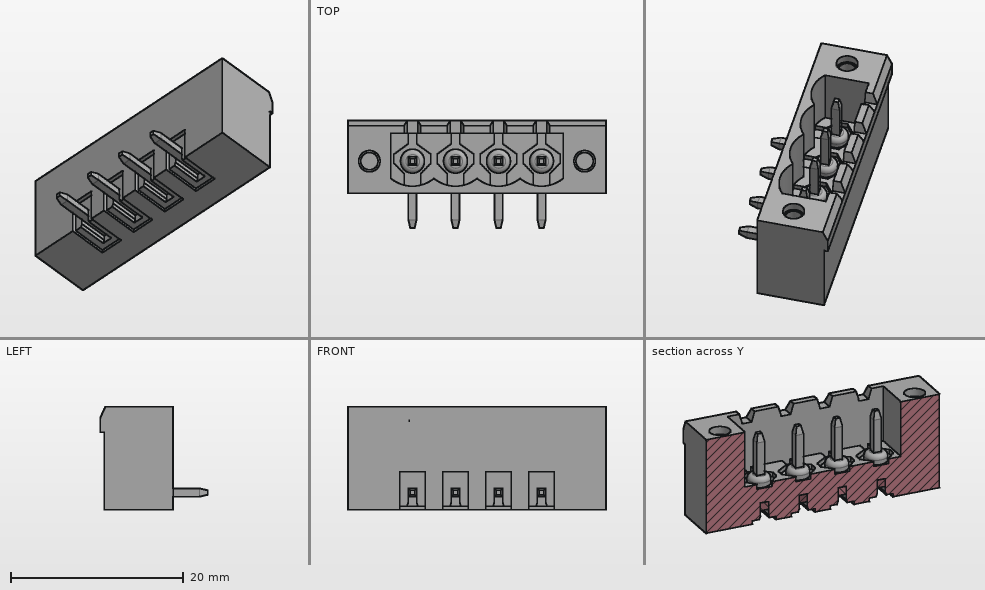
import cadquery as cq


LENGTH = 30.0
HEIGHT = 12.0
DEPTH = 8.5
LIP_OVERHANG = 0.45
LIP_HEIGHT = 3.0
LIP_BEVEL_DEPTH = 0.6
LIP_BEVEL_HEIGHT = 1.3

PIN_COUNT = 4
PITCH = LENGTH / 6
PIN_Y = 3.75

CAVITY_FLOOR_Z = 5.0
CAVITY_BACK_Y = 7.0
CAVITY_LENGTH = PIN_COUNT * PITCH
CUSP_Y = 1.75
SCALLOP_Y = 0.85

NOTCH_TOP_WIDTH = 1.95
NOTCH_BOTTOM_WIDTH = 1.2

RELIEF_DEPTH = 0.6
RELIEF_BACK_WIDTH = 1.0
RELIEF_MIDDLE_WIDTH = 4.3
RELIEF_FRONT_WIDTH = 1.9
RELIEF_NECK_Y = 5.75
RELIEF_MIDDLE_BACK_Y = 4.55
RELIEF_MIDDLE_FRONT_Y = 3.5
RELIEF_FRONT_Y = 2.28

BOSS_DIAMETER = 2.8
BOSS_HEIGHT = 1.2
BOSS_ROUNDING = 0.6

PIN_SIZE = 1.0
PIN_TIP_SIZE = 0.55
PIN_TAPER = 1.0
PIN_TOP_Z = 10.8
PIN_REACH = 4.02
LEG_Z = 2.0

WINDOW_WIDTH = 3.0
WINDOW_HEIGHT = 4.45
WINDOW_DEPTH = 0.5
BOTTOM_RECESS_HEIGHT = 0.42
BOTTOM_RECESS_BACK_Y = 5.0
SLOT_MOUTH_WIDTH = 1.3
SLOT_FLARE_Z = 0.85
SLOT_BACK_Y = PIN_Y + PIN_SIZE / 2

SLEEVE_X = 2.5 * PITCH
SLEEVE_DIAMETER = 2.5
SLEEVE_BORE = 2.0
SLEEVE_SINK = 1.0
SLEEVE_LENGTH = 5.0

pin_places = [(i - (PIN_COUNT - 1) / 2) * PITCH for i in range(PIN_COUNT)]
sleeve_places = [-SLEEVE_X, SLEEVE_X]


def block(x_centre, x_size, y_min, y_max, z_min, z_max):
    """Box given by its X centre and size and its Y and Z limits."""
    box = cq.Workplane("XY").box(x_size, y_max - y_min, z_max - z_min, centered=(True, False, False))
    return box.translate((x_centre, y_min, z_min))


def make_shell():
    """Side profile of the housing with its bevelled rear lip, extruded along X."""
    back_y = DEPTH - LIP_OVERHANG
    lip_z = HEIGHT - LIP_HEIGHT
    outline = [
        (0, 0),
        (back_y, 0),
        (back_y, lip_z),
        (DEPTH, lip_z),
        (DEPTH, HEIGHT - LIP_BEVEL_HEIGHT),
        (DEPTH - LIP_BEVEL_DEPTH, HEIGHT),
        (0, HEIGHT),
    ]
    return cq.Workplane("YZ").polyline(outline).close().extrude(LENGTH / 2, both=True)


def make_cavity():
    """Plug cavity whose front wall is scalloped, one arc for each pin."""
    half = CAVITY_LENGTH / 2
    outline = cq.Workplane("XY").moveTo(half, CAVITY_BACK_Y).lineTo(-half, CAVITY_BACK_Y).lineTo(-half, CUSP_Y)
    for x in pin_places:
        outline = outline.threePointArc((x, SCALLOP_Y), (x + PITCH / 2, CUSP_Y))
    return outline.close().extrude(HEIGHT - CAVITY_FLOOR_Z).translate((0, 0, CAVITY_FLOOR_Z))


def make_notch(x):
    """Trapezoidal keying notch through the rear wall."""
    bottom_z = HEIGHT - LIP_BEVEL_HEIGHT
    outline = [
        (x - NOTCH_TOP_WIDTH / 2, HEIGHT),
        (x + NOTCH_TOP_WIDTH / 2, HEIGHT),
        (x + NOTCH_BOTTOM_WIDTH / 2, bottom_z),
        (x - NOTCH_BOTTOM_WIDTH / 2, bottom_z),
    ]
    notch = cq.Workplane("XZ").polyline(outline).close().extrude(CAVITY_BACK_Y - DEPTH)
    return notch.translate((0, CAVITY_BACK_Y, 0))


def make_relief(x):
    """Sunken area of the cavity floor, kept within the outline of the cavity."""
    right_side = [
        (RELIEF_FRONT_WIDTH / 2, 0),
        (RELIEF_FRONT_WIDTH / 2, RELIEF_FRONT_Y),
        (RELIEF_MIDDLE_WIDTH / 2, RELIEF_MIDDLE_FRONT_Y),
        (RELIEF_MIDDLE_WIDTH / 2, RELIEF_MIDDLE_BACK_Y),
        (RELIEF_BACK_WIDTH / 2, RELIEF_NECK_Y),
        (RELIEF_BACK_WIDTH / 2, CAVITY_BACK_Y),
    ]
    left_side = [(-dx, y) for dx, y in reversed(right_side)]
    relief = cq.Workplane("XY").polyline(right_side + left_side).close().extrude(RELIEF_DEPTH)
    relief = relief.translate((x, 0, CAVITY_FLOOR_Z - RELIEF_DEPTH))
    return relief.intersect(make_cavity().translate((0, 0, -RELIEF_DEPTH)))


def make_boss(x):
    """Round-topped boss that stands on the relief floor around a pin."""
    boss = cq.Workplane("XY").circle(BOSS_DIAMETER / 2).extrude(BOSS_HEIGHT)
    boss = boss.faces(">Z").edges().fillet(BOSS_ROUNDING)
    return boss.translate((x, PIN_Y, CAVITY_FLOOR_Z - RELIEF_DEPTH))


def make_front_window(x):
    """Shallow window in the front face together with the recess in the bottom behind it."""
    window = block(x, WINDOW_WIDTH, 0, WINDOW_DEPTH, 0, WINDOW_HEIGHT)
    return window.union(block(x, WINDOW_WIDTH, 0, BOTTOM_RECESS_BACK_Y, 0, BOTTOM_RECESS_HEIGHT))


def make_leg_slot(x):
    """Slot that opens the solder leg's passage downwards and flares at its mouth."""
    outline = [
        (x - SLOT_MOUTH_WIDTH / 2, BOTTOM_RECESS_HEIGHT),
        (x + SLOT_MOUTH_WIDTH / 2, BOTTOM_RECESS_HEIGHT),
        (x + PIN_SIZE / 2, SLOT_FLARE_Z),
        (x + PIN_SIZE / 2, LEG_Z),
        (x - PIN_SIZE / 2, LEG_Z),
        (x - PIN_SIZE / 2, SLOT_FLARE_Z),
    ]
    return cq.Workplane("XZ").polyline(outline).close().extrude(-SLOT_BACK_Y)


def make_tapered_bar(length):
    """Square bar along +Z from Z = 0, narrowed to a blunt tip at its far end."""
    bar = cq.Workplane("XY").rect(PIN_SIZE, PIN_SIZE).extrude(length - PIN_TAPER)
    tip = (
        cq.Workplane("XY")
        .workplane(offset=length - PIN_TAPER)
        .rect(PIN_SIZE, PIN_SIZE)
        .workplane(offset=PIN_TAPER)
        .rect(PIN_TIP_SIZE, PIN_TIP_SIZE)
        .loft()
    )
    return bar.union(tip)


def make_pin(x):
    """L-shaped pin: an upright contact and a solder leg that leaves through the front."""
    corner_z = LEG_Z - PIN_SIZE / 2
    contact = make_tapered_bar(PIN_TOP_Z - corner_z).translate((x, PIN_Y, corner_z))
    leg = make_tapered_bar(PIN_Y + PIN_REACH).rotate((0, 0, 0), (1, 0, 0), 90)
    return contact.union(leg.translate((x, PIN_Y, LEG_Z)))


def make_sleeve_hole(x):
    """Blind hole that holds a sleeve below the top of the housing."""
    depth = SLEEVE_SINK + SLEEVE_LENGTH
    hole = cq.Workplane("XY").circle(SLEEVE_DIAMETER / 2).extrude(depth)
    return hole.translate((x, PIN_Y, HEIGHT - depth))


def make_sleeve(x):
    """Plain tube seated on the floor of its hole."""
    sleeve = cq.Workplane("XY").circle(SLEEVE_DIAMETER / 2).circle(SLEEVE_BORE / 2).extrude(SLEEVE_LENGTH)
    return sleeve.translate((x, PIN_Y, HEIGHT - SLEEVE_SINK - SLEEVE_LENGTH))


def make_housing():
    """Housing with everything cut that the pins and sleeves need."""
    body = make_shell().cut(make_cavity())
    for x in pin_places:
        body = body.cut(make_notch(x))
        body = body.cut(make_relief(x))
        body = body.union(make_boss(x))
        body = body.cut(make_front_window(x))
        body = body.cut(make_leg_slot(x))
        body = body.cut(make_pin(x))
    for x in sleeve_places:
        body = body.cut(make_sleeve_hole(x))
    return body


housing = make_housing()
pins = [make_pin(x) for x in pin_places]
sleeves = [make_sleeve(x) for x in sleeve_places]

result = cq.Compound.makeCompound([
    housing.val(),
    *[pin.val() for pin in pins],
    *[sleeve.val() for sleeve in sleeves],
])